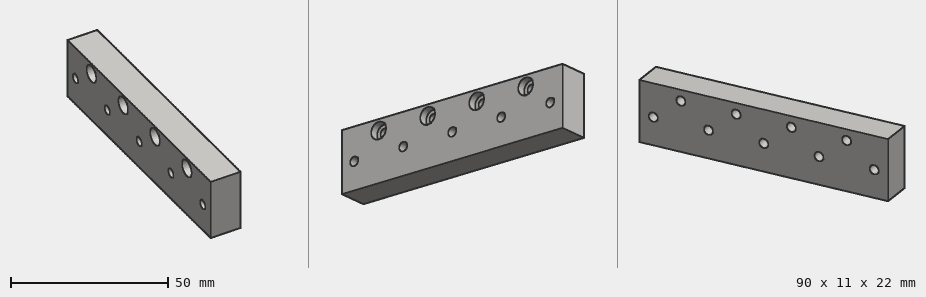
import cadquery as cq

length = 90.0
thickness = 11.0
height = 22.0

hole_pitch = 20.0
hole_diameter = 3.2
plain_hole_count = 5
plain_row_height = 10.0
counterbored_hole_count = plain_hole_count - 1
counterbored_row_height = 18.0
counterbore_diameter = 6.0
counterbore_depth = 3.0


def row_positions(count, row_height):
    """Evenly pitched hole centres (X, Z), symmetric about the middle of the bar."""
    first_x = -hole_pitch * (count - 1) / 2
    return [(first_x + index * hole_pitch, row_height) for index in range(count)]


bar = cq.Workplane("XY").box(length, thickness, height, centered=(True, True, False))

front_face = cq.Workplane("XZ", origin=(0, -thickness / 2, 0))


def front_cylinders(positions, diameter, depth):
    """Cylinders running from the front face into the bar."""
    return front_face.pushPoints(positions).circle(diameter / 2).extrude(-depth)


plain_positions = row_positions(plain_hole_count, plain_row_height)
counterbored_positions = row_positions(counterbored_hole_count, counterbored_row_height)

through_holes = front_cylinders(plain_positions + counterbored_positions, hole_diameter, thickness)
counterbores = front_cylinders(counterbored_positions, counterbore_diameter, counterbore_depth)

result = bar.cut(through_holes).cut(counterbores)